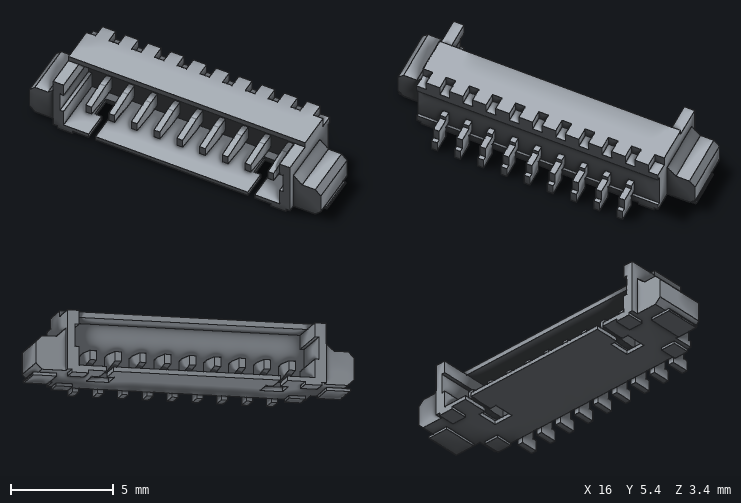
import cadquery as cq

OVERALL_LENGTH = 16.0
OVERALL_DEPTH = 5.4
OVERALL_HEIGHT = 3.4
STANDOFF = 0.15

PIN_COUNT = 9
PITCH = 1.25
PIN_WIDTH = 0.32

NOTCH_WIDTH = 0.51
BODY_LENGTH = (PIN_COUNT + 1) * PITCH + NOTCH_WIDTH
FRONT_Y = -2.7
BACK_Y = 1.52
DECK_FRONT_Y = -1.09
SIDE_WALL_TOP = 3.1

CAVITY_LENGTH = 11.85
CAVITY_BACK_Y = 0.3
FLOOR_TOP = 0.37
GROOVE_DEPTH = 0.2
GROOVE_BOTTOM = 1.3
GROOVE_TOP = 2.4

RELIEF_DEPTH = 0.15
RELIEF_BOTTOM = 0.51
RELIEF_TOP = 2.48
NOTCH_LENGTH = 0.72
NOTCH_BOTTOM = 2.86

SLOT_X = 4.37
SLOT_WIDTH = 0.37
SLOT_HEAD_WIDTH = 1.12
SLOT_HEAD_FRONT_Y = -1.31
SLOT_BACK_Y = -0.16

FOOT_INNER_X = 5.44
FOOT_OUTER_X = 6.27
FOOT_LENGTH = 0.96

EAR_FRONT_Y = -2.34
EAR_BACK_Y = 0.46
EAR_ROOT_TOP = 2.25
EAR_TOP = 1.82
EAR_SLOPE_X = 6.98
EAR_CHAMFER = 0.3
TAB_INNER_X = 6.78
TAB_FRONT_Y = -1.63
TAB_BACK_Y = 0.32
TAB_CHAMFER = 0.05

PIN_TIP_Y = -1.84
PIN_TAPER_Y = -0.37
PIN_TOP = 1.49
PIN_BOTTOM = 0.7
PIN_TIP_TOP = 1.33
PIN_TIP_BOTTOM = 0.86
LEG_FRONT_Y = 1.71
LEG_BACK_Y = 2.48
LEG_TOP = 1.28
TOE_BACK_Y = FRONT_Y + OVERALL_DEPTH
TOE_TOP = 0.62


def block(x_range, y_range, z_range):
    """Box spanning the given (low, high) ranges."""
    sizes = [high - low for low, high in (x_range, y_range, z_range)]
    corner = (x_range[0], y_range[0], z_range[0])
    return cq.Workplane("XY").box(*sizes, centered=False).translate(corner)


def centred(length, middle=0.0):
    """(low, high) range of a length about its middle."""
    return (middle - length / 2, middle + length / 2)


def both_ends(shape):
    """A +X end feature together with its mirror image."""
    return shape.union(shape.mirror("YZ"))


def housing():
    side_profile = [
        (FRONT_Y, STANDOFF),
        (BACK_Y, STANDOFF),
        (BACK_Y, RELIEF_BOTTOM),
        (BACK_Y - RELIEF_DEPTH, RELIEF_BOTTOM),
        (BACK_Y - RELIEF_DEPTH, RELIEF_TOP),
        (BACK_Y, RELIEF_TOP),
        (BACK_Y, OVERALL_HEIGHT),
        (DECK_FRONT_Y, OVERALL_HEIGHT),
        (DECK_FRONT_Y, SIDE_WALL_TOP),
        (FRONT_Y, SIDE_WALL_TOP),
    ]
    return cq.Workplane("YZ").polyline(side_profile).close().extrude(BODY_LENGTH / 2, both=True)


def cavity():
    depth = (FRONT_Y, CAVITY_BACK_Y)
    main = block(centred(CAVITY_LENGTH), depth, (FLOOR_TOP, SIDE_WALL_TOP))
    grooves = block(centred(CAVITY_LENGTH + 2 * GROOVE_DEPTH), depth, (GROOVE_BOTTOM, GROOVE_TOP))
    return main.union(grooves)


def floor_slots():
    floor = (STANDOFF, FLOOR_TOP)
    stem = block(centred(SLOT_WIDTH, SLOT_X), (FRONT_Y, SLOT_BACK_Y), floor)
    head = block(centred(SLOT_HEAD_WIDTH, SLOT_X), (SLOT_HEAD_FRONT_Y, SLOT_BACK_Y), floor)
    return both_ends(stem.union(head))


def top_notch(x):
    return block(centred(NOTCH_WIDTH, x), (BACK_Y - NOTCH_LENGTH, BACK_Y), (NOTCH_BOTTOM, OVERALL_HEIGHT))


def feet():
    x_range = (FOOT_INNER_X, FOOT_OUTER_X)
    front = block(x_range, (FRONT_Y, FRONT_Y + FOOT_LENGTH), (0, STANDOFF))
    back = block(x_range, (BACK_Y - FOOT_LENGTH, BACK_Y), (0, STANDOFF))
    return both_ends(front.union(back))


def ears():
    end_x = OVERALL_LENGTH / 2
    profile = [
        (BODY_LENGTH / 2, STANDOFF),
        (end_x - EAR_CHAMFER, STANDOFF),
        (end_x, STANDOFF + EAR_CHAMFER),
        (end_x, EAR_TOP - EAR_CHAMFER),
        (end_x - EAR_CHAMFER, EAR_TOP),
        (EAR_SLOPE_X, EAR_TOP),
        (BODY_LENGTH / 2, EAR_ROOT_TOP),
    ]
    plane = cq.Workplane("XZ", origin=(0, EAR_BACK_Y, 0))
    return both_ends(plane.polyline(profile).close().extrude(EAR_BACK_Y - EAR_FRONT_Y))


def solder_tabs():
    tab = block((TAB_INNER_X, OVERALL_LENGTH / 2), (TAB_FRONT_Y, TAB_BACK_Y), (0, STANDOFF))
    return both_ends(tab.faces(">X").edges("|Y").chamfer(TAB_CHAMFER))


def contact(x):
    profile = [
        (PIN_TIP_Y, PIN_TIP_BOTTOM),
        (PIN_TAPER_Y, PIN_BOTTOM),
        (LEG_FRONT_Y, PIN_BOTTOM),
        (LEG_FRONT_Y, 0),
        (TOE_BACK_Y, 0),
        (TOE_BACK_Y, TOE_TOP),
        (LEG_BACK_Y, TOE_TOP),
        (LEG_BACK_Y, LEG_TOP),
        (LEG_FRONT_Y, LEG_TOP),
        (LEG_FRONT_Y, PIN_TOP),
        (PIN_TAPER_Y, PIN_TOP),
        (PIN_TIP_Y, PIN_TIP_TOP),
    ]
    pin = cq.Workplane("YZ").polyline(profile).close().extrude(PIN_WIDTH / 2, both=True)
    return pin.translate((x, 0, 0))


result = housing().cut(cavity()).cut(floor_slots())

for step in range(PIN_COUNT + 2):
    result = result.cut(top_notch((step - (PIN_COUNT + 1) / 2) * PITCH))

result = result.union(feet()).union(ears()).union(solder_tabs())

for step in range(PIN_COUNT):
    result = result.union(contact((step - (PIN_COUNT - 1) / 2) * PITCH))